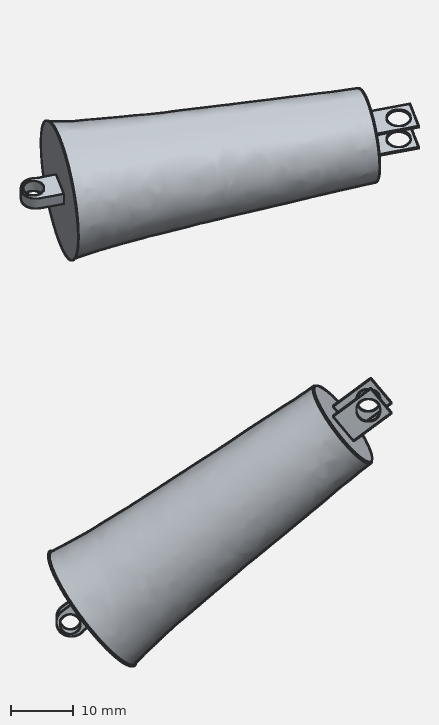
import cadquery as cq

total_length = 64.85
front_lug_length = 6.35
rear_tab_length = 7.65
body_length = total_length - front_lug_length - rear_tab_length

flare_radius = 11.35
lip_thickness = 0.2
lip_inner_radius = 11.15
rear_radius = 7.65
rear_edge_chamfer = 0.2
rear_drop = 0.45
barrel_radii = [lip_inner_radius, 10.1, 9.45, 8.95, 8.5, 8.05, rear_radius]

lug_left = -1.95
lug_right = 2.7
lug_bottom = -0.45
lug_thickness = 2.2
lug_end_radius = 2.4
lug_end_x = lug_right - lug_end_radius
lug_end_y = lug_end_radius - front_lug_length
lug_hole_diameter = 3.3
lug_hole_x = 0.2
lug_hole_y = -4.3

tab_width = 5.3
tab_thickness = 0.3
tab_heights = (1.95, -2.65)
tab_hole_diameter = 3.8
tab_hole_inset = 2.6

embed = 0.65


def body_section(y, radius):
    centre = cq.Vector(0, y, -rear_drop * y / body_length)
    return cq.Wire.makeCircle(radius, centre, cq.Vector(0, 1, 0))


def loft_body(start_y, end_y, radii):
    """Loft through round sections evenly spaced from start_y to end_y."""
    spacing = (end_y - start_y) / (len(radii) - 1)
    sections = [body_section(start_y + i * spacing, radius) for i, radius in enumerate(radii)]
    return cq.Workplane(cq.Solid.makeLoft(sections))


def make_body():
    lip = loft_body(0, lip_thickness, [flare_radius, lip_inner_radius])
    barrel = loft_body(lip_thickness, body_length, barrel_radii)
    barrel = barrel.faces(">Y").chamfer(rear_edge_chamfer)
    return lip.union(barrel)


def make_front_lug():
    base = cq.Workplane("XY").workplane(offset=lug_bottom)
    bar_length = embed - lug_end_y
    bar = (
        base.center((lug_left + lug_right) / 2, lug_end_y + bar_length / 2)
        .rect(lug_right - lug_left, bar_length)
        .extrude(lug_thickness)
    )
    round_end = base.center(lug_end_x, lug_end_y).circle(lug_end_radius).extrude(lug_thickness)
    hole = base.center(lug_hole_x, lug_hole_y).circle(lug_hole_diameter / 2).extrude(lug_thickness)
    return bar.union(round_end).cut(hole)


def make_rear_tab(height):
    rear_end = body_length + rear_tab_length
    tab_length = rear_tab_length + embed
    base = cq.Workplane("XY").workplane(offset=height - tab_thickness / 2)
    plate = base.center(0, rear_end - tab_length / 2).rect(tab_width, tab_length).extrude(tab_thickness)
    hole = (
        base.center(0, rear_end - tab_hole_inset)
        .circle(tab_hole_diameter / 2)
        .extrude(tab_thickness)
    )
    return plate.cut(hole)


result = make_body().union(make_front_lug())
for tab_height in tab_heights:
    result = result.union(make_rear_tab(tab_height))